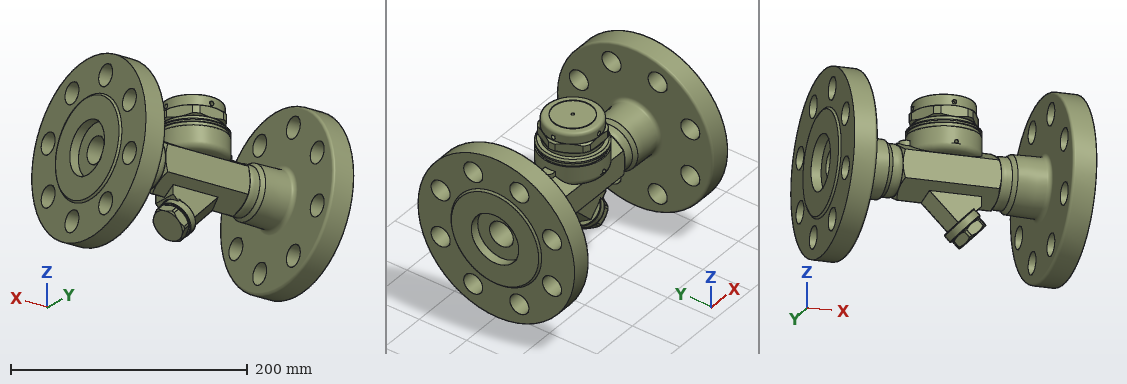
import cadquery as cq
import math


HALF_LENGTH = 110.0
FLANGE_DIAMETER = 165.0
RAISED_FACE_RADIUS = 46.0
RAISED_FACE_HEIGHT = 1.8
FLANGE_OUTER_X = HALF_LENGTH - RAISED_FACE_HEIGHT
FLANGE_THICKNESS = 21.0
FLANGE_INNER_X = FLANGE_OUTER_X - FLANGE_THICKNESS
FLANGE_EDGE_RADIUS = 2.5
BOLT_COUNT = 8
BOLT_CIRCLE_DIAMETER = 127.0
BOLT_HOLE_DIAMETER = 20.0

HUB_ROOT_RADIUS = 26.5
HUB_ROOT_FILLET = 4.0
HUB_END_RADIUS = 25.7
HUB_END_X = 57.5
PIPE_RADIUS = 46.0 / 2
PIPE_START_X = 53.5
PIPE_END_X = 48.5
PIPE_NOSE_RADIUS = 21.8

BORE_DIAMETER = 25.0
SOCKET_DIAMETER = 50.0
SOCKET_DEPTH = 9.0

BLOCK_FLATS = 44.5
BLOCK_HALF_LENGTH = 44.0
BLOCK_CORNER_RADIUS = BLOCK_FLATS / math.sqrt(3)
BLOCK_CHAMFER_START = BLOCK_FLATS / 2
BLOCK_CHAMFER_LENGTH = 2.0

HOUSING_RADIUS = 65.0 / 2
HOUSING_BOTTOM_Z = 13.5
HOUSING_TOP_Z = 41.4
HOUSING_BOTTOM_FILLET = 6.0
HOUSING_TOP_CHAMFER = 1.8
GROOVE_RADIUS = 62.0 / 2
GROOVE_BOTTOM_Z = 34.5
GROOVE_TOP_Z = 38.0
PIN_DIAMETER = 3.0
PIN_Z = 21.0
PIN_TIP_Y = -34.5

LUG_CENTRE_X = -34.5
LUG_WIDTH = 10.8
LUG_TOP_Z = 27.3

ARM_TILT = 45.0
ARM_ROOT_Z = -25.0
ARM_FLATS = 25.5
ARM_START = -19.4
ARM_END = 19.4
WEB_END = 22.2
WEB_RIGHT_X = 29.5
SPOTFACE_RADIUS = 17.5
COLLAR_DIAMETER = 34.0
COLLAR_END = 27.5
COLLAR_CHAMFER = 0.7
PLUG_FLATS = 30.0
PLUG_CORNER_DIAMETER = 33.2
PLUG_END = 36.5

NECK_DIAMETER = 54.0
CAP_HEX_BOTTOM_Z = 45.3
CAP_HEX_TOP_Z = 55.0
CAP_HEX_FLATS = 55.0
CAP_HEX_CORNER_DIAMETER = 60.0
CAP_HEAD_DIAMETER = 55.5
CAP_HEAD_TOP_Z = 65.5
CAP_HEAD_FILLET = 3.3
CAP_DISC_DIAMETER = 40.0
CAP_DISC_HEIGHT = 0.7
CAP_NUB_DIAMETER = 3.0
CAP_NUB_SINK = 0.7
WRENCH_HOLE_COUNT = 4
WRENCH_HOLE_DIAMETER = 4.0
WRENCH_HOLE_DEPTH = 4.5
DRILL_TIP_ANGLE = 118.0
WRENCH_HOLE_Z = 58.3

HEX_END_CHAMFER = 1.3


def cylinder_z(diameter, bottom, top):
    return cq.Workplane("XY").workplane(offset=bottom).circle(diameter / 2).extrude(top - bottom)


def hexagon_z(flats, bottom, top):
    """Hexagonal bar along Z with two flats facing +Y and -Y."""
    corner_diameter = 2 * flats / math.sqrt(3)
    return cq.Workplane("XY").workplane(offset=bottom).polygon(6, corner_diameter).extrude(top - bottom)


def chamfered_cylinder_z(radius, face_radius, chamfer_length, bottom, top):
    """Cylinder along Z whose two ends taper to a smaller flat face."""
    return (
        cq.Workplane("XZ")
        .polyline([(0, bottom), (face_radius, bottom), (radius, bottom + chamfer_length),
                   (radius, top - chamfer_length), (face_radius, top), (0, top)])
        .close()
        .revolve(360, (0, 0, 0), (0, 1, 0))
    )


def turned_hexagon_z(flats, corner_diameter, bottom, top):
    """Hexagonal bar whose corners are turned down to a cylinder with chamfered ends."""
    turned = chamfered_cylinder_z(corner_diameter / 2, flats / 2, HEX_END_CHAMFER, bottom, top)
    return hexagon_z(flats, bottom, top).intersect(turned)


def pipe_end():
    """Flange, hub and pipe of the +X end, turned about the X axis."""
    flange_radius = FLANGE_DIAMETER / 2
    root_x = FLANGE_INNER_X - HUB_ROOT_FILLET
    turned = (
        cq.Workplane("XY")
        .moveTo(0, 0)
        .lineTo(HALF_LENGTH, 0)
        .lineTo(HALF_LENGTH, RAISED_FACE_RADIUS)
        .lineTo(FLANGE_OUTER_X, RAISED_FACE_RADIUS + RAISED_FACE_HEIGHT)
        .lineTo(FLANGE_OUTER_X, flange_radius)
        .lineTo(FLANGE_INNER_X + FLANGE_EDGE_RADIUS, flange_radius)
        .radiusArc((FLANGE_INNER_X, flange_radius - FLANGE_EDGE_RADIUS), -FLANGE_EDGE_RADIUS)
        .lineTo(FLANGE_INNER_X, HUB_ROOT_RADIUS + HUB_ROOT_FILLET)
        .radiusArc((root_x, HUB_ROOT_RADIUS), HUB_ROOT_FILLET)
        .lineTo(HUB_END_X, HUB_END_RADIUS)
        .lineTo(PIPE_START_X, PIPE_RADIUS)
        .lineTo(PIPE_END_X, PIPE_RADIUS)
        .tangentArcPoint((BLOCK_HALF_LENGTH, PIPE_NOSE_RADIUS), relative=False)
        .lineTo(0, PIPE_NOSE_RADIUS)
        .close()
        .revolve(360, (0, 0, 0), (1, 0, 0))
    )
    bolt_holes = (
        cq.Workplane("YZ")
        .workplane(offset=FLANGE_INNER_X)
        .polarArray(BOLT_CIRCLE_DIAMETER / 2, 180 / BOLT_COUNT, 360, BOLT_COUNT)
        .circle(BOLT_HOLE_DIAMETER / 2)
        .extrude(FLANGE_THICKNESS)
    )
    return turned.cut(bolt_holes)


def flow_bore():
    """Socket and blind bore of the +X end."""
    socket = (
        cq.Workplane("YZ")
        .workplane(offset=HALF_LENGTH)
        .circle(SOCKET_DIAMETER / 2)
        .extrude(-SOCKET_DEPTH)
    )
    bore = (
        cq.Workplane("YZ")
        .workplane(offset=BLOCK_HALF_LENGTH)
        .circle(BORE_DIAMETER / 2)
        .extrude(HALF_LENGTH - BLOCK_HALF_LENGTH)
    )
    return socket.union(bore)


def centre_block():
    """Hexagonal bar along X, ridges up and down, with both ends turned to a cone."""
    bar = hexagon_z(BLOCK_FLATS, -BLOCK_HALF_LENGTH, BLOCK_HALF_LENGTH)
    turned = chamfered_cylinder_z(
        BLOCK_CORNER_RADIUS, BLOCK_CHAMFER_START, BLOCK_CHAMFER_LENGTH, -BLOCK_HALF_LENGTH, BLOCK_HALF_LENGTH
    )
    return bar.intersect(turned).rotate((0, 0, 0), (0, 1, 0), 90)


def cap_housing():
    """Round cup on the block, with a groove near its rim and a round-tipped pin on its -Y side."""
    cup = cylinder_z(2 * HOUSING_RADIUS, HOUSING_BOTTOM_Z, HOUSING_TOP_Z)
    cup = cup.faces("<Z").edges().fillet(HOUSING_BOTTOM_FILLET)
    cup = cup.faces(">Z").edges().chamfer(HOUSING_TOP_CHAMFER)
    groove = cylinder_z(2 * HOUSING_RADIUS, GROOVE_BOTTOM_Z, GROOVE_TOP_Z).cut(
        cylinder_z(2 * GROOVE_RADIUS, GROOVE_BOTTOM_Z, GROOVE_TOP_Z)
    )
    pin_radius = PIN_DIAMETER / 2
    tip_centre_y = PIN_TIP_Y + pin_radius
    shank = cq.Workplane("XZ").center(0, PIN_Z).circle(pin_radius).extrude(-tip_centre_y)
    tip = cq.Workplane("XY").sphere(pin_radius).translate((0, tip_centre_y, PIN_Z))
    return cup.cut(groove).union(shank).union(tip)


def lug():
    """Upright tab with a round end, rising from the block's upper ridge."""
    end = cq.Workplane("XY").center(LUG_CENTRE_X, 0).circle(LUG_WIDTH / 2).extrude(LUG_TOP_Z)
    stem = cq.Workplane("XY").rect(-LUG_CENTRE_X, LUG_WIDTH).extrude(LUG_TOP_Z)
    return end.union(stem.translate((LUG_CENTRE_X / 2, 0, 0)))


def tilt_into_place(shape):
    """Swing a shape built along +Z to the arm axis, running from the arm root down to +X."""
    return shape.rotate((0, 0, 0), (0, 1, 0), 180 - ARM_TILT).translate((0, 0, ARM_ROOT_Z))


def strainer_arm():
    """Hexagonal arm, the web that fills the corner above it, and the screwed plug at its end."""
    arm = tilt_into_place(hexagon_z(ARM_FLATS, ARM_START, ARM_END))

    web_axis_x = WEB_END * math.sin(math.radians(ARM_TILT))
    web_axis_z = ARM_ROOT_Z - WEB_END * math.cos(math.radians(ARM_TILT))
    web_corner_z = web_axis_z + (WEB_RIGHT_X - web_axis_x) * math.tan(math.radians(ARM_TILT))
    web = (
        cq.Workplane("XZ")
        .polyline([(0, 0), (0, ARM_ROOT_Z), (web_axis_x, web_axis_z),
                   (WEB_RIGHT_X, web_corner_z), (WEB_RIGHT_X, 0)])
        .close()
        .extrude(ARM_FLATS / 2, both=True)
    )
    web = web.cut(tilt_into_place(cylinder_z(2 * SPOTFACE_RADIUS, ARM_END, COLLAR_END)))

    collar = cylinder_z(COLLAR_DIAMETER, ARM_END, COLLAR_END).edges().chamfer(COLLAR_CHAMFER)
    plug = turned_hexagon_z(PLUG_FLATS, PLUG_CORNER_DIAMETER, COLLAR_END, PLUG_END)
    return arm.union(web).union(tilt_into_place(collar.union(plug)))


def trap_body():
    body = centre_block()
    for end in (pipe_end(), pipe_end().mirror("YZ")):
        body = body.union(end)
    body = body.union(cap_housing()).union(lug()).union(strainer_arm())
    for bore in (flow_bore(), flow_bore().mirror("YZ")):
        body = body.cut(bore)
    return body


def wrench_hole():
    """Blind drilled hole with a conical bottom, entering the head from the +X side."""
    radius = WRENCH_HOLE_DIAMETER / 2
    mouth_x = CAP_HEAD_DIAMETER / 2
    bottom_x = mouth_x - WRENCH_HOLE_DEPTH
    tip_x = bottom_x - radius / math.tan(math.radians(DRILL_TIP_ANGLE / 2))
    drill = (
        cq.Workplane("XY")
        .polyline([(tip_x, 0), (bottom_x, radius), (mouth_x, radius), (mouth_x, 0)])
        .close()
        .revolve(360, (0, 0, 0), (1, 0, 0))
    )
    return drill.translate((0, 0, WRENCH_HOLE_Z))


def screw_cap():
    """Cap with a round neck, a hexagon for the wrench and a round head with radial holes."""
    neck = cylinder_z(NECK_DIAMETER, HOUSING_TOP_Z, CAP_HEX_BOTTOM_Z)
    hexagon = turned_hexagon_z(CAP_HEX_FLATS, CAP_HEX_CORNER_DIAMETER, CAP_HEX_BOTTOM_Z, CAP_HEX_TOP_Z)
    head = cylinder_z(CAP_HEAD_DIAMETER, CAP_HEX_TOP_Z, CAP_HEAD_TOP_Z)
    head = head.faces(">Z").edges().fillet(CAP_HEAD_FILLET)
    disc_top_z = CAP_HEAD_TOP_Z + CAP_DISC_HEIGHT
    disc = cylinder_z(CAP_DISC_DIAMETER, CAP_HEAD_TOP_Z, disc_top_z)
    nub = cq.Workplane("XY").sphere(CAP_NUB_DIAMETER / 2).translate((0, 0, disc_top_z - CAP_NUB_SINK))
    cap = neck.union(hexagon).union(head).union(disc).union(nub)

    hole = wrench_hole()
    for index in range(WRENCH_HOLE_COUNT):
        cap = cap.cut(hole.rotate((0, 0, 0), (0, 0, 1), index * 360 / WRENCH_HOLE_COUNT))
    return cap


body = trap_body()
cap = screw_cap()

result = cq.Compound.makeCompound([body.val(), cap.val()])